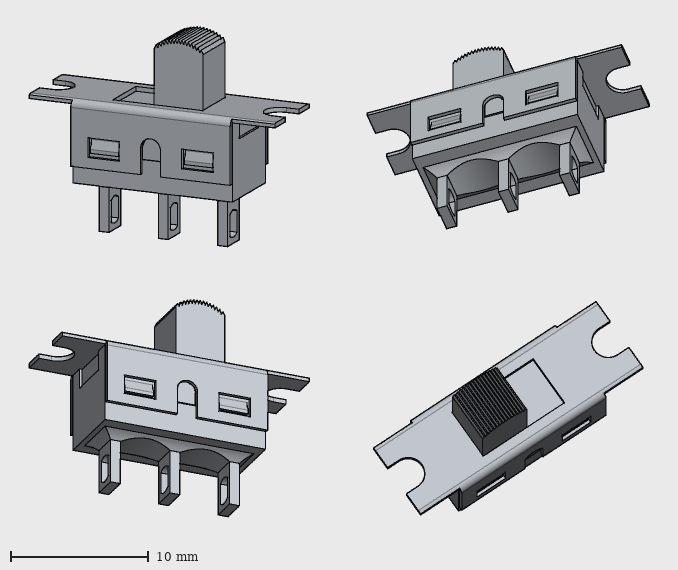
import cadquery as cq
import math


body_length = 12.7
body_width = 5.8
plate_top = 6.35

frame_length = 19.56
frame_width = 6.6
plate_thickness = 0.36
wall_thickness = 0.28
bend_radius = 0.56
bend_inner_radius = bend_radius - wall_thickness
wall_bottom = 1.36
body_height = plate_top - plate_thickness
wing_width = frame_width - 2 * wall_thickness
opening_length = 7.14
opening_width = 4.02
mount_slot_diameter = 2.4
mount_slot_depth = 2.18

window_width = 2.5
window_bottom = 2.17
window_top = 3.65
window_offset = 3.74
arch_width = 1.58
arch_top = 4.14

catch_width = 2.25
catch_bottom = 2.46
catch_edge = 2.75
catch_top = 3.46
catch_height = 0.22
boss_width = 1.49
boss_bottom = 2.42
boss_height = (wing_width - body_width) / 2

channel_width = 3.38
channel_height = 1.52
channel_recess = 0.2

knob_length = 3.9
knob_width = 3.84
knob_top = 11.43
knob_shoulder_drop = 0.89
knob_shoulder = knob_top - knob_shoulder_drop
knob_x = (opening_length - knob_length) / 2
crown_radius = 3.1
tooth_depth = 0.29
tooth_pitch = 0.257
teeth_per_side = 7

pin_pitch = 4.72
pin_thickness = 0.78
pin_width = 2.08
pin_bottom = -3.96
eyelet_width = 1.25
eyelet_length = 2.04
eyelet_z = -2.47

resin_length = 11.8
resin_width = 3.7
resin_bottom = -0.58
resin_between_pins = -0.19
resin_sag = 0.06

SIDES = (-1, 1)


def box(x_size, y_size, z_low, z_high, x=0, y=0):
    """Box centred on (x, y) between two heights."""
    block = cq.Workplane("XY").box(x_size, y_size, z_high - z_low, centered=(True, True, False))
    return block.translate((x, y, z_low))


def extrude_along_y(outline, width):
    """Extrude an XZ outline symmetrically about the XZ plane."""
    return outline.close().extrude(width / 2, both=True)


def extrude_along_x(outline, length):
    """Extrude a YZ outline symmetrically about the YZ plane."""
    return outline.close().extrude(length / 2, both=True)


def arch(width, z_low, z_high, depth):
    """Round-topped upright prism through the XZ plane."""
    half = width / 2
    outline = (
        cq.Workplane("XZ")
        .moveTo(-half, z_low)
        .lineTo(-half, z_high - half)
        .threePointArc((0, z_high), (half, z_high - half))
        .lineTo(half, z_low)
    )
    return extrude_along_y(outline, depth)


def make_frame():
    frame = box(body_length, frame_width, wall_bottom, plate_top)
    frame = frame.edges("|X and >Z").fillet(bend_radius)
    cavity = box(body_length, wing_width, wall_bottom, body_height)
    frame = frame.cut(cavity.edges("|X and >Z").fillet(bend_inner_radius))

    wings = box(frame_length, frame_width, body_height - bend_radius, plate_top)
    wings = wings.edges("|X and >Z").fillet(bend_radius)
    wings = wings.intersect(box(frame_length, wing_width, body_height, plate_top))
    frame = frame.union(wings)

    frame = frame.cut(box(opening_length, opening_width, body_height, plate_top))
    for side in SIDES:
        slot = (
            cq.Workplane("XY", origin=(side * frame_length / 2, 0, body_height))
            .slot2D(2 * mount_slot_depth, mount_slot_diameter)
            .extrude(plate_thickness)
        )
        frame = frame.cut(slot)
        frame = frame.cut(box(window_width, frame_width, window_bottom, window_top, x=side * window_offset))
    return frame.cut(arch(arch_width, wall_bottom, arch_top, frame_width))


def make_catches(x):
    """Wedge catches on both long sides of the housing, sloping outwards towards the bottom."""
    root = body_width / 2
    tip = root + catch_height
    outline = (
        cq.Workplane("YZ")
        .moveTo(-root, catch_top)
        .lineTo(-tip, catch_edge)
        .lineTo(-tip, catch_bottom)
        .lineTo(tip, catch_bottom)
        .lineTo(tip, catch_edge)
        .lineTo(root, catch_top)
    )
    return extrude_along_x(outline, catch_width).translate((x, 0, 0))


def make_housing():
    housing = box(body_length, body_width, 0, body_height)
    for side in SIDES:
        mouth_x = side * (body_length - channel_recess) / 2
        mouth = box(channel_recess, channel_width, body_height - channel_height, body_height, x=mouth_x)
        housing = housing.cut(mouth)
        housing = housing.union(make_catches(side * window_offset))
    return housing.union(arch(boss_width, boss_bottom, arch_top, body_width + 2 * boss_height))


def crown_height(x):
    """Height of the crown arc at a distance x from the middle of the knob."""
    return knob_top - crown_radius + math.sqrt(crown_radius**2 - x**2)


def make_knob():
    half = knob_length / 2
    outline = cq.Workplane("XZ").moveTo(-half, body_height).lineTo(-half, knob_shoulder)
    for tooth in range(-teeth_per_side, teeth_per_side + 1):
        peak = tooth * tooth_pitch
        outline = outline.lineTo(peak, crown_height(peak))
        if tooth < teeth_per_side:
            valley = peak + tooth_pitch / 2
            outline = outline.lineTo(valley, crown_height(valley) - tooth_depth)
    outline = outline.lineTo(half, knob_shoulder).lineTo(half, body_height)
    return extrude_along_y(outline, knob_width).translate((knob_x, 0, 0))


def make_terminal(x):
    terminal = box(pin_thickness, pin_width, pin_bottom, 0, x=x)
    eyelet = (
        cq.Workplane("YZ", origin=(x, 0, eyelet_z))
        .circle(eyelet_length / 2)
        .extrude(pin_thickness / 2, both=True)
    )
    flats = box(pin_thickness, eyelet_width, pin_bottom, 0, x=x)
    return terminal.cut(eyelet.intersect(flats))


def sagging_midpoint(start, end):
    """Middle of a resin flank, raised slightly so that the flank is hollow."""
    return ((start[0] + end[0]) / 2, (start[1] + end[1]) / 2 + resin_sag)


def make_resin():
    """Hollow-flanked resin: the common volume of a lengthwise and a crosswise profile."""
    half_pin = pin_thickness / 2
    pin_face = (pin_pitch + half_pin, resin_bottom)
    end = (resin_length / 2, 0)
    end_middle = sagging_midpoint(pin_face, end)
    lengthwise = (
        cq.Workplane("XZ")
        .moveTo(-end[0], 0)
        .threePointArc((-end_middle[0], end_middle[1]), (-pin_face[0], resin_bottom))
    )
    for gap_middle in (-pin_pitch / 2, pin_pitch / 2):
        half_gap = pin_pitch / 2 - half_pin
        lengthwise = lengthwise.lineTo(gap_middle - half_gap, resin_bottom).threePointArc(
            (gap_middle, resin_between_pins), (gap_middle + half_gap, resin_bottom)
        )
    lengthwise = lengthwise.lineTo(*pin_face).threePointArc(end_middle, end)

    pin_side = (pin_width / 2, resin_bottom)
    side = (resin_width / 2, 0)
    side_middle = sagging_midpoint(pin_side, side)
    crosswise = (
        cq.Workplane("YZ")
        .moveTo(-side[0], 0)
        .threePointArc((-side_middle[0], side_middle[1]), (-pin_side[0], resin_bottom))
        .lineTo(*pin_side)
        .threePointArc(side_middle, side)
    )
    return extrude_along_y(lengthwise, resin_width).intersect(extrude_along_x(crosswise, resin_length))


result = make_housing().union(make_frame()).union(make_knob()).union(make_resin())
for pin in (-1, 0, 1):
    result = result.union(make_terminal(pin * pin_pitch))